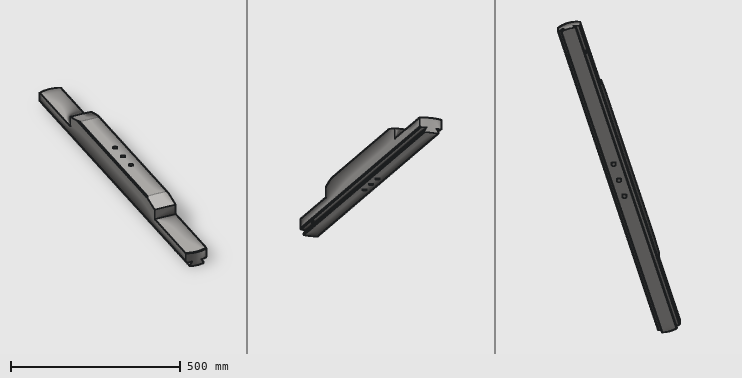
import cadquery as cq

length = 1023.0
width = 69.0
height = 95.0

bar_bottom = 15.0
bar_top = 47.0
end_bow = 7.0
end_chamfer = 2.0

housing_length = 583.0
plateau_length = 466.0
housing_wall_top = 80.0
housing_bottom = (bar_bottom + bar_top) / 2
edge_chamfer = 3.0

keel_root_width = 31.0
keel_lip_width = 47.0
keel_base_width = 43.0
keel_lip_height = 3.0

hole_diameter = 13.0
hole_spacing = 54.0
hole_count = 3

post_diameter = 6.0
post_x = 420.0
post_y = 27.0
post_bottom = 9.0


def make_bowed_plan():
    """Full-height block whose two ends are shallow arcs."""
    corner_x = length / 2 - end_bow
    half_width = width / 2
    return (
        cq.Workplane("XY")
        .moveTo(-corner_x, -half_width)
        .lineTo(corner_x, -half_width)
        .threePointArc((length / 2, 0), (corner_x, half_width))
        .lineTo(-corner_x, half_width)
        .threePointArc((-length / 2, 0), (-corner_x, -half_width))
        .close()
        .extrude(height)
    )


def make_bar(plan):
    """Long bar with chamfered lower sides and chamfered upper end arcs."""
    bar = cq.Workplane("XY").box(length, width, bar_top - bar_bottom, centered=(True, True, False))
    bar = bar.translate((0, 0, bar_bottom)).intersect(plan)
    bar = bar.faces("<Z").edges("|X").chamfer(edge_chamfer)
    return bar.faces(">Z").edges("not |X").chamfer(end_chamfer)


def make_housing():
    """Centre housing with sloping shoulders and chamfered plateau edges."""
    housing = (
        cq.Workplane("XZ")
        .moveTo(-housing_length / 2, housing_bottom)
        .lineTo(-housing_length / 2, housing_wall_top)
        .lineTo(-plateau_length / 2, height)
        .lineTo(plateau_length / 2, height)
        .lineTo(housing_length / 2, housing_wall_top)
        .lineTo(housing_length / 2, housing_bottom)
        .close()
        .extrude(width / 2, both=True)
    )
    return housing.faces(">Z").edges("|X").chamfer(edge_chamfer)


def make_keel(plan):
    """Keel that flares downward to a lip, then tapers in to its base."""
    half_profile = [
        (0, 0),
        (keel_base_width / 2, 0),
        (keel_lip_width / 2, keel_lip_height),
        (keel_root_width / 2, bar_bottom),
        (0, bar_bottom),
    ]
    half = cq.Workplane("YZ").polyline(half_profile).close().extrude(length / 2, both=True)
    return half.union(half.mirror("XZ")).intersect(plan)


def make_posts():
    """One post on each side of the keel, rooted inside the bar."""
    return (
        cq.Workplane("XY", origin=(0, 0, post_bottom))
        .pushPoints([(post_x, -post_y), (post_x, post_y)])
        .circle(post_diameter / 2)
        .extrude(housing_bottom - post_bottom)
    )


def make_through_holes():
    return (
        cq.Workplane("XY")
        .rarray(hole_spacing, 10, hole_count, 1)
        .circle(hole_diameter / 2)
        .extrude(height)
    )


plan = make_bowed_plan()
body = make_bar(plan).union(make_housing()).union(make_keel(plan)).union(make_posts())
result = body.cut(make_through_holes())